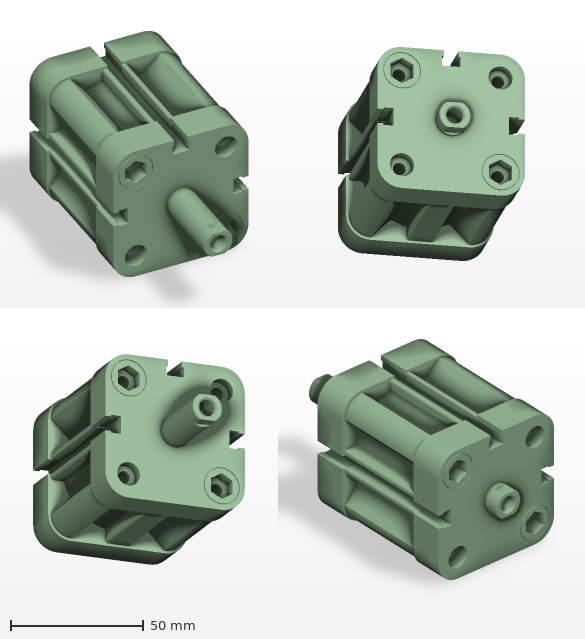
import cadquery as cq
import math


side = 57.0
body_length = 71.0
cap_length = 14.7
barrel_length = body_length - 2 * cap_length
corner_pitch = 19.0
cap_corner_radius = side / 2 - corner_pitch

barrel_half = 27.5
tube_radius = 22.7
lobe_radius = barrel_half - corner_pitch
lobe_half_width = lobe_radius / math.sqrt(2)
lobe_root_fillet = 1.3
rib_half_width = 5.2
rib_root_fillet = 1.0
rib_edge_fillet = 1.0

slot_angles = (0, 90, 180)
slot_floor = side / 2 - 6.3
slot_mouth_floor = side / 2 - 2.3
slot_mouth_half_width = 2.9
slot_mouth_fillet = 0.4
slot_floor_fillet = 0.3
cap_channel_half_width = 3.5
barrel_channel_half_width = 3.2

through_radius = 5.0 / 2
bore_radius = 4.6
bore_depth = 4.7
head_radius = 6.9
groove_radius = 7.4
groove_depth = 0.5
hex_across_flats = 8.9
hex_depth = 5.5
screw_centres = ((corner_pitch, corner_pitch), (-corner_pitch, -corner_pitch))
open_centres = ((corner_pitch, -corner_pitch), (-corner_pitch, corner_pitch))
corner_centres = screw_centres + open_centres

rod_length = 110.0
rod_radius = 6.0
rod_start = -7.0
rod_chamfer = 0.3
flat_height = 5.1
flat_length = 5.3
flat_run_out = 0.4
thread_radius = 3.2
thread_depth = 11.0
countersink_radius = 3.8
drill_point_angle = 118.0


def section(x):
    """Sketch plane across the axis at x, with Y to the right and Z up."""
    return cq.Workplane("YZ", origin=(x, 0, 0))


def turned(body, angle):
    return body.rotate((0, 0, 0), (1, 0, 0), angle)


def cylinders(centres, radius, x, length):
    return section(x).pushPoints(centres).circle(radius).extrude(length)


def slot_cutter(channel_half_width, x, length):
    """Slot on the +Y side, open outwards."""
    half_outline = [
        (side / 2, slot_mouth_half_width),
        (slot_mouth_floor, slot_mouth_half_width),
        (slot_mouth_floor, channel_half_width),
        (slot_floor, channel_half_width),
    ]
    mirrored_half = [(y, -z) for y, z in reversed(half_outline)]
    return section(x).polyline(half_outline + mirrored_half).close().extrude(length)


def hex_sockets(centres, depth):
    """Hexagons with a corner pointing up."""
    corner_radius = hex_across_flats / math.sqrt(3)
    corners = []
    for corner in range(6):
        angle = math.radians(90 + 60 * corner)
        corners.append((corner_radius * math.cos(angle), corner_radius * math.sin(angle)))
    sockets = cq.Workplane("YZ")
    for y, z in centres:
        socket = section(0).center(y, z).polyline(corners).close().extrude(depth)
        sockets = sockets.add(socket)
    return sockets.combine()


def make_cap():
    """Rear cap, with its outer face at x = 0."""
    cap = section(0).rect(side, side).extrude(cap_length).edges("|X").fillet(cap_corner_radius)
    slot = slot_cutter(cap_channel_half_width, 0, cap_length)
    for angle in slot_angles:
        cap = cap.cut(turned(slot, angle))
    cap = cap.cut(section(0).circle(rod_radius).extrude(cap_length))
    cap = cap.cut(cylinders(corner_centres, through_radius, 0, cap_length))
    cap = cap.cut(cylinders(open_centres, bore_radius, 0, bore_depth))
    groove = cylinders(screw_centres, groove_radius, 0, groove_depth)
    groove = groove.cut(cylinders(screw_centres, head_radius, 0, groove_depth))
    return cap.cut(groove).cut(hex_sockets(screw_centres, hex_depth))


def round_roots(barrel, radius, turn_from_axes):
    """Round the edges that lie on the tube's surface, at less than this angle from the Y and Z axes."""
    def is_root(edge):
        y, z = abs(edge.Center().y), abs(edge.Center().z)
        on_tube = abs(math.hypot(y, z) - tube_radius) < 0.01
        return on_tube and math.degrees(math.atan2(min(y, z), max(y, z))) < turn_from_axes

    roots = barrel.edges("|X").filter(is_root)
    return barrel.newObject(roots.vals()).fillet(radius)


def make_barrel():
    start = cap_length
    barrel = section(start).circle(tube_radius).extrude(barrel_length)

    lobe_centre = corner_pitch * math.sqrt(2)
    lobe_edge = lobe_centre + lobe_half_width
    lobe = (
        section(start)
        .moveTo(0, -lobe_half_width)
        .lineTo(lobe_edge, -lobe_half_width)
        .threePointArc((lobe_centre + lobe_radius, 0), (lobe_edge, lobe_half_width))
        .lineTo(0, lobe_half_width)
        .close()
        .extrude(barrel_length)
    )
    for quarter in range(4):
        barrel = barrel.union(turned(lobe, 45 + 90 * quarter))
    barrel = round_roots(barrel, lobe_root_fillet, 45)

    rib = (
        section(start)
        .center(barrel_half / 2, 0)
        .rect(barrel_half, 2 * rib_half_width)
        .extrude(barrel_length)
        .edges("|X and >Y")
        .fillet(rib_edge_fillet)
    )
    for quarter in range(4):
        barrel = barrel.union(turned(rib, 90 * quarter))
    barrel = round_roots(barrel, rib_root_fillet, 20)

    slot = slot_cutter(barrel_channel_half_width, start, barrel_length)
    slot = slot.faces("<Y").edges("|X").fillet(slot_floor_fillet)
    for angle in slot_angles:
        barrel = barrel.cut(turned(slot, angle))

    def is_mouth_edge(edge):
        y, z = sorted((abs(edge.Center().y), abs(edge.Center().z)))
        return abs(y - slot_mouth_half_width) < 0.01 and abs(z - barrel_half) < 0.01

    mouth_edges = barrel.edges("|X").filter(is_mouth_edge)
    barrel = barrel.newObject(mouth_edges.vals()).fillet(slot_mouth_fillet)

    barrel = barrel.cut(section(start).circle(rod_radius).extrude(barrel_length))
    return barrel.cut(cylinders(corner_centres, through_radius, start, barrel_length))


def make_rod():
    rod = section(rod_start).circle(rod_radius).extrude(rod_length).edges().chamfer(rod_chamfer)

    flat_end = rod_start + flat_length
    upper_flat = (
        cq.Workplane("XZ")
        .polyline([
            (rod_start, flat_height),
            (flat_end, flat_height),
            (flat_end + flat_run_out, rod_radius),
            (rod_start, rod_radius),
        ])
        .close()
        .extrude(rod_radius, both=True)
    )

    countersink_depth = countersink_radius - thread_radius
    point_depth = thread_radius / math.tan(math.radians(drill_point_angle / 2))
    threaded_hole = (
        cq.Workplane("XY")
        .polyline([
            (rod_start, 0),
            (rod_start, countersink_radius),
            (rod_start + countersink_depth, thread_radius),
            (rod_start + thread_depth, thread_radius),
            (rod_start + thread_depth + point_depth, 0),
        ])
        .close()
        .revolve(360, (0, 0, 0), (1, 0, 0))
    )

    rod_middle = (rod_start + rod_length / 2, 0, 0)
    for cutter in (upper_flat, turned(upper_flat, 180), threaded_hole):
        rod = rod.cut(cutter).cut(cutter.mirror("YZ", rod_middle))
    return rod


def make_caps():
    """Two equal caps; the front one is turned half round about the vertical through the middle."""
    middle = body_length / 2
    caps = []
    for turn in (0, 180):
        caps.append(make_cap().rotate((middle, 0, 0), (middle, 0, 1), turn))
    return caps


caps = make_caps()
barrel = make_barrel()
rod = make_rod()

result = cq.Compound.makeCompound([
    *[cap.val() for cap in caps],
    barrel.val(),
    rod.val(),
])